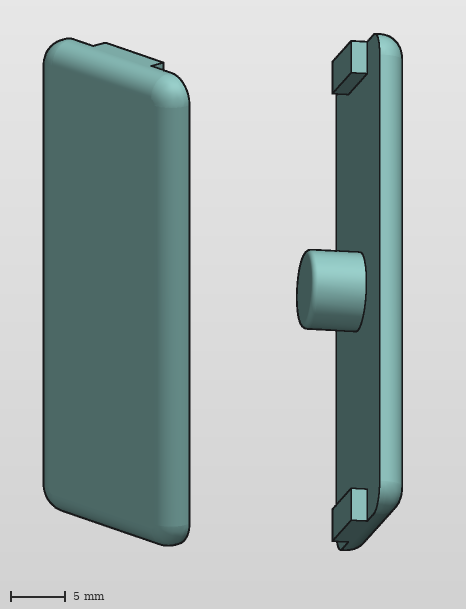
import cadquery as cq

plate_width = 18.5
plate_height = 45.0
plate_thickness = 2.5
corner_radius = 2.5
front_edge_radius = 2.0

block_width = 8.0
block_height = 3.0
block_depth = 1.5

boss_diameter = 7.25
boss_length = 5.0
boss_edge_radius = 0.5


def make_plate():
    """Plate with rounded corners and a rounded front edge."""
    return (
        cq.Workplane("XY")
        .box(plate_width, plate_thickness, plate_height, centered=(True, False, True))
        .edges("|Y")
        .fillet(corner_radius)
        .faces("<Y")
        .edges()
        .fillet(front_edge_radius)
    )


def make_end_block(side):
    """Block behind one end of the plate: side is +1 for the top, -1 for the bottom."""
    center_z = side * (plate_height - block_height) / 2
    return (
        cq.Workplane("XY")
        .box(block_width, block_depth, block_height, centered=(True, False, True))
        .translate((0, plate_thickness, center_z))
    )


def make_boss():
    """Cylindrical boss along +Y with a rounded free end."""
    return (
        cq.Workplane("XZ", origin=(0, plate_thickness, 0))
        .circle(boss_diameter / 2)
        .extrude(-boss_length)
        .faces(">Y")
        .edges()
        .fillet(boss_edge_radius)
    )


result = make_plate().union(make_boss())
for end_side in (1, -1):
    result = result.union(make_end_block(end_side))
result = result.clean()